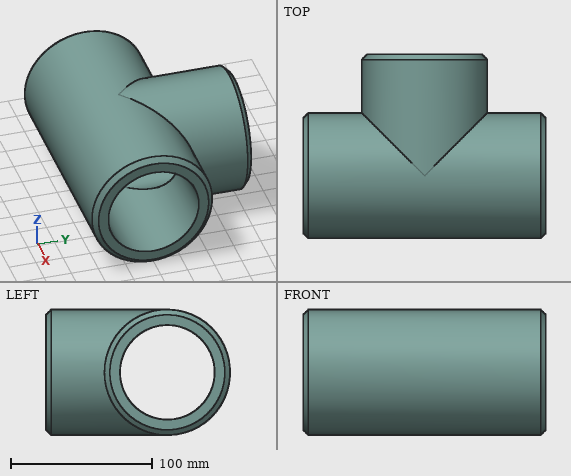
import cadquery as cq

run_length = 171.7
outer_diameter = 89.0
bore_diameter = 66.8
end_chamfer = 3.8
branch_length = run_length / 2


def run_cylinder(diameter):
    """Full-length cylinder centred on the X axis."""
    return cq.Workplane("YZ").circle(diameter / 2).extrude(run_length / 2, both=True)


def branch_cylinder(diameter):
    """Cylinder from the run axis out to the branch face at +Y."""
    return cq.Workplane("XZ").circle(diameter / 2).extrude(-branch_length)


run_body = run_cylinder(outer_diameter).faces("<X or >X").chamfer(end_chamfer)
branch_body = branch_cylinder(outer_diameter).faces(">Y").chamfer(end_chamfer)
body = run_body.union(branch_body)

bores = run_cylinder(bore_diameter).union(branch_cylinder(bore_diameter))

result = body.cut(bores)